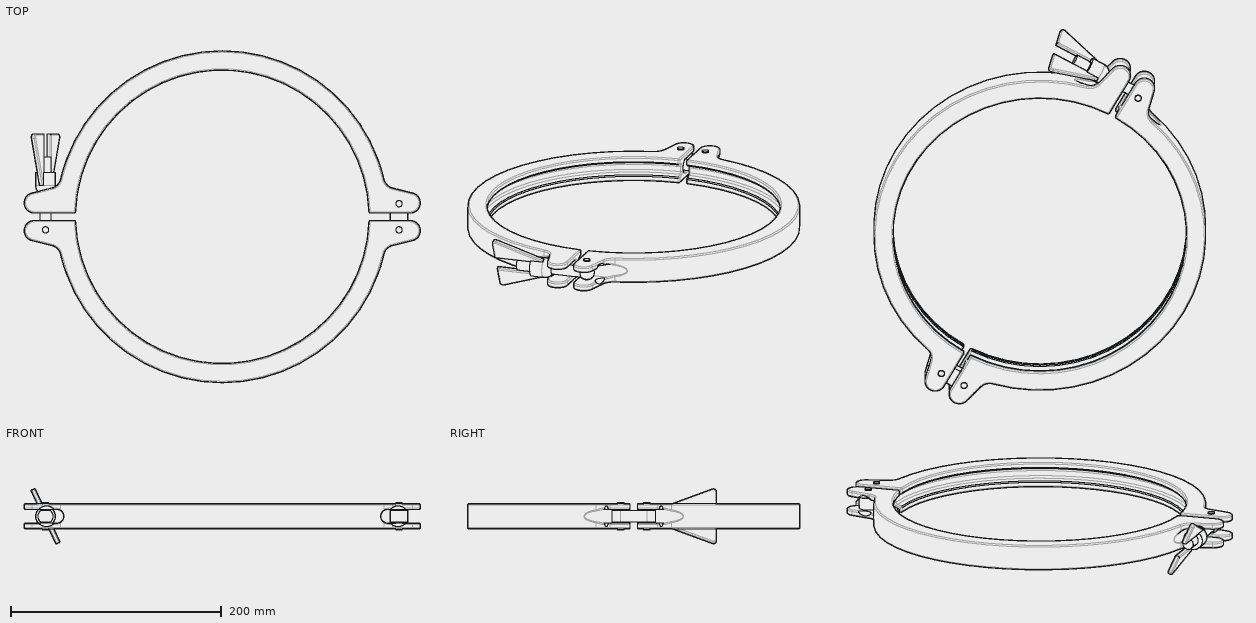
import cadquery as cq
import math


overall_length = 376.0
outer_radius = 157.5
bore_radius = 139.0
height = 24.0
half_gap = 3.5
edge_radius = 1.3
end_corner_radius = 1.5

groove_floor_radius = 145.5
groove_mouth_half = 6.5
groove_flank_angle = math.radians(20)
groove_root_radius = 2.3

ear_tip_radius = 9.8
ear_tip_x = overall_length / 2 - ear_tip_radius
ear_tip_y = half_gap + ear_tip_radius
ear_taper = math.radians(14)
ear_blend_radius = 11.3
fork_gap = 12.8
fork_bottom_x = 150.5

pivot_x = 167.7
pivot_y = 12.5
rivet_radius = 3.0
rivet_length = 26.5
link_width = 17.0
link_height = 11.3

bolt_radius = 5.3
bolt_tip_y = 56.8
eye_radius = 7.0
eye_height = 11.3

hub_radius = 9.5
hub_start_y = 29.7
hub_end_y = 42.0
seat_clearance = 1.0
wing_thickness = 4.5
wing_edge_radius = 1.0
wing_inner_radius = 7.0
wing_outer_radius = 28.2
wing_end_y = 78.5
wing_corner_radius = 3.0
wing_flank_angle = math.radians(22)
wing_tilt = 25

pick_margin = 0.8


def polar(radius, angle):
    return radius * math.cos(angle), radius * math.sin(angle)


def shifted(point, offset, distance):
    return point[0] + distance * offset[0], point[1] + distance * offset[1]


def mirrored(point):
    return -point[0], point[1]


def y_cylinder(radius, start_y, end_y):
    """Cylinder around the bolt axis, from start_y to end_y."""
    base = cq.Workplane("XZ", origin=(-pivot_x, start_y, 0))
    return base.circle(radius).extrude(start_y - end_y)


def half_outline():
    """Plan of the +Y half without its bore: half disc with a tapered, round-tipped ear at each end."""
    normal = (math.sin(ear_taper), math.cos(ear_taper))
    along = (math.cos(ear_taper), -math.sin(ear_taper))
    tip = (ear_tip_x, ear_tip_y)

    blend_reach = outer_radius + ear_blend_radius
    blend_rise = normal[0] * tip[0] + normal[1] * tip[1] + ear_tip_radius + ear_blend_radius
    blend_run = math.sqrt(blend_reach**2 - blend_rise**2)
    blend = shifted((blend_rise * normal[0], blend_rise * normal[1]), along, blend_run)
    ring_angle = math.atan2(blend[1], blend[0])
    blend_mid_angle = (-math.pi / 2 - ear_taper - math.pi + ring_angle) / 2
    tip_mid_angle = -ear_taper / 2

    tip_start = (ear_tip_x, half_gap)
    tip_mid = shifted(tip, polar(1, tip_mid_angle), ear_tip_radius)
    tip_end = shifted(tip, normal, ear_tip_radius)
    blend_start = shifted(blend, normal, -ear_blend_radius)
    blend_mid = shifted(blend, polar(1, blend_mid_angle), ear_blend_radius)
    blend_end = polar(outer_radius, ring_angle)

    return (
        cq.Workplane("XY", origin=(0, 0, -height / 2))
        .moveTo(*tip_start)
        .threePointArc(tip_mid, tip_end)
        .lineTo(*blend_start)
        .threePointArc(blend_mid, blend_end)
        .threePointArc((0, outer_radius), mirrored(blend_end))
        .threePointArc(mirrored(blend_mid), mirrored(blend_start))
        .lineTo(*mirrored(tip_end))
        .threePointArc(mirrored(tip_mid), mirrored(tip_start))
        .close()
    )


def groove_cutter():
    """Bore plug with a V-shaped rim, rounded at the groove floor and at its mouth."""
    floor_half = groove_mouth_half - (groove_floor_radius - bore_radius) * math.tan(groove_flank_angle)
    section = [
        (0, -height),
        (bore_radius, -height),
        (bore_radius, -groove_mouth_half),
        (groove_floor_radius, -floor_half),
        (groove_floor_radius, floor_half),
        (bore_radius, groove_mouth_half),
        (bore_radius, height),
        (0, height),
    ]
    plug = cq.Workplane("XZ").polyline(section).close().revolve(360, (0, 0, 0), (0, 1, 0))
    floor_edges = cq.selectors.RadiusNthSelector(-1)
    mouth_reach = bore_radius + pick_margin
    mouth_level = groove_mouth_half + pick_margin
    mouth_edges = cq.selectors.BoxSelector(
        (-mouth_reach, -mouth_reach, -mouth_level),
        (mouth_reach, mouth_reach, mouth_level),
        boundingbox=True,
    )
    return plug.edges(floor_edges).fillet(groove_root_radius).edges(mouth_edges).fillet(edge_radius)


def fork_slot(side):
    """Round-bottomed slot that splits the ears on one side into two plates."""
    slot_end_x = fork_bottom_x + fork_gap / 2
    slot = cq.Workplane("XY").box(overall_length, outer_radius, fork_gap, centered=(False, False, True))
    slot = slot.translate((slot_end_x, 0, 0))
    round_end = cq.Workplane("XZ").center(slot_end_x, 0).circle(fork_gap / 2).extrude(-outer_radius)
    slot = slot.union(round_end)
    if side < 0:
        slot = slot.mirror("YZ")
    return slot


def round_fork_edges(half):
    """Round the rim of both fork slots; the rim is smooth, so picking it at the ear tips is enough."""
    reach = fork_gap / 2 + pick_margin
    left_tip = cq.selectors.BoxSelector((-overall_length, 0, -reach), (-pivot_x, outer_radius, reach))
    right_tip = cq.selectors.BoxSelector((pivot_x, 0, -reach), (overall_length, outer_radius, reach))
    return half.edges(left_tip + right_tip).fillet(edge_radius)


def clamp_half():
    """The +Y half of the clamp, grooved, forked and with ball seats in its ears."""
    half = half_outline().extrude(height).cut(groove_cutter())
    bore_corners = cq.selectors.BoxSelector(
        (-bore_radius - pick_margin, half_gap - pick_margin, -height),
        (bore_radius + pick_margin, half_gap + pick_margin, height),
    )
    half = half.edges("|Z").edges(bore_corners).fillet(end_corner_radius)
    half = half.faces("<Z or >Z").edges().fillet(edge_radius)
    for side in (-1, 1):
        half = half.cut(fork_slot(side))
    half = round_fork_edges(half)
    for side in (-1, 1):
        seat = cq.Workplane("XY").sphere(hub_radius + seat_clearance)
        half = half.cut(seat.translate((side * pivot_x, hub_start_y, 0)))
    return half


def rivet(x, y):
    return cq.Workplane("XY").cylinder(rivet_length, rivet_radius).translate((x, y, 0))


def hinge_link():
    link_length = 2 * pivot_y + link_width
    outline = cq.Workplane("XY").slot2D(link_length, link_width, 90)
    link = outline.extrude(link_height / 2, both=True)
    return link.translate((pivot_x, 0, 0))


def swing_bolt():
    eye_stock = cq.Workplane("XY").cylinder(eye_height, eye_radius)
    eye = cq.Workplane("XY").sphere(eye_radius).intersect(eye_stock)
    eye = eye.translate((-pivot_x, -pivot_y, 0))
    return eye.union(y_cylinder(bolt_radius, -pivot_y, bolt_tip_y))


def wing():
    """Flat wing lying in the YZ plane of the bolt axis, tapering towards the hub."""
    corner_y = wing_end_y - wing_corner_radius
    corner_z = wing_outer_radius - wing_corner_radius
    facing = (-math.sin(wing_flank_angle), math.cos(wing_flank_angle))
    flank_end = shifted((corner_y, corner_z), facing, wing_corner_radius)
    flank_start_z = flank_end[1] - (flank_end[0] - hub_start_y) * math.tan(wing_flank_angle)
    blade = (
        cq.Workplane("YZ", origin=(-pivot_x, 0, 0))
        .moveTo(hub_start_y, wing_inner_radius)
        .lineTo(wing_end_y, wing_inner_radius)
        .lineTo(wing_end_y, corner_z)
        .threePointArc(shifted((corner_y, corner_z), polar(1, math.pi / 4), wing_corner_radius), flank_end)
        .lineTo(hub_start_y, flank_start_z)
        .close()
        .extrude(wing_thickness / 2, both=True)
    )
    return blade.faces("<X or >X").edges().fillet(wing_edge_radius)


def wing_nut():
    seat = cq.Workplane("XY").sphere(hub_radius).translate((-pivot_x, hub_start_y, 0))
    nut = seat.union(y_cylinder(hub_radius, hub_start_y, hub_end_y))
    for turn in (0, 180):
        tilted = wing().rotate((-pivot_x, 0, 0), (-pivot_x, 1, 0), turn - wing_tilt)
        nut = nut.union(tilted)
    return nut


upper_half = clamp_half()
result = upper_half.union(upper_half.mirror("XZ")).union(hinge_link())
result = result.union(swing_bolt()).union(wing_nut())
for rivet_x, rivet_y in ((pivot_x, pivot_y), (pivot_x, -pivot_y), (-pivot_x, -pivot_y)):
    result = result.union(rivet(rivet_x, rivet_y))